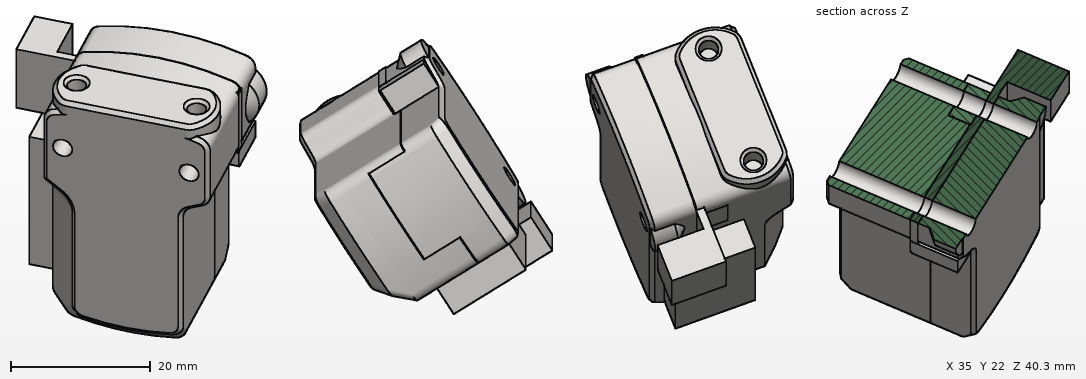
import cadquery as cq
import math

depth = 22.0
half_width = 12.5
lower_right_x = 8.45
bow_radius = 39.98
case_top = 39.8
corner_radius = 2.0
bottom_chamfer = 2.0
edge_bevel = 0.6
shallow_bevel = 0.25
shoulder_z = 26.8
shoulder_angle = 25.0

scoop_turn = 45.0
scoop_leg = 4.55
scoop_radius = 5.0
scoop_tip_z = 26.2
scoop_flat = scoop_leg / math.sqrt(2)
scoop_bend_z = scoop_tip_z - scoop_flat - scoop_radius * (math.sqrt(2) - 1)

cover_front_y = 15.0
parting_gap = 0.12
tab_half_width = 7.4
tab_front_y = 8.95
tab_thickness = 2.0

plate_top = 40.3
plate_bottom = 36.25
plate_half_length = 12.3
plate_width = 10.0
plate_end_radius = 6.0
screw_spacing = 18.05
screw_diameter = 2.8
screw_depth = 4.05
screw_chamfer = 0.5

cross_hole_x = 9.5
cross_hole_z = 32.1
cross_hole_diameter = 2.9
lug_radius = 4.5
lug_length = 3.5
lug_setback = 0.12

ledge_bottom = 23.95
ledge_front_y = 13.75
ledge_chamfer = 0.3

strip_thickness = 1.25
slider_height = 10.48
slider_top = shoulder_z + slider_height
strip_front_y = cover_front_y - strip_thickness
finger_left_x = -21.0
finger_width = 5.75
boss_diameter = 6.5
boss_length = 3.5

block_left_x = -17.1
block_bottom = 4.05
block_front_y = 7.78
block_back_y = 20.0

rim_clip_depth = 0.8
low_z = 8.05
neck_top_z = 26.2
far = 80.6


def bow_drop(x, radius):
    """How far a bow of this radius falls away from its middle at x."""
    return radius - math.sqrt(radius ** 2 - x ** 2)


def upright_plane(y):
    """XZ plane at y; extruding by a negative length runs toward +Y."""
    return cq.Workplane("XZ", origin=(0, y, 0))


def round_corners(outline, is_rounded, radius):
    """Round the corners of a closed flat outline that is_rounded picks out."""
    face = cq.Face.makeFromWires(outline)
    corners = [corner for corner in face.Vertices() if is_rounded(corner)]
    return face.fillet2D(radius, corners).outerWire()


def is_low(corner):
    return corner.Z < low_z


def is_neck(corner):
    return corner.X > 0 and low_z < corner.Z < neck_top_z


def is_upper(corner):
    lowest = neck_top_z if corner.X > 0 else cross_hole_z
    return corner.Z > lowest


def is_outward(corner):
    return is_low(corner) or is_upper(corner)


def scoop_profile(angle_degrees):
    """Depth from the sharp edge and height, at an angle along the scoop's rounding."""
    angle = math.radians(angle_degrees)
    inward = scoop_flat - scoop_radius * (1 - math.cos(angle))
    return inward, scoop_bend_z + scoop_radius * math.sin(angle)


def scoop_edge(angle_degrees, inset):
    """Point where the scoop's rounding cuts the front face, moved into the case by inset."""
    angle = math.radians(angle_degrees)
    inward, z = scoop_profile(angle_degrees)
    x = math.sqrt(2) * inward - half_width
    normal_x = math.cos(angle) / math.sqrt(2)
    normal_z = math.sin(angle)
    length = math.hypot(normal_x, normal_z)
    return x + inset * normal_x / length, z + inset * normal_z / length


def case_outline(y, wall_inset=0, bottom_inset=0, scoop_inset=None):
    """Case outline at depth y, moved in by the insets; the scoop is left out unless it has one."""
    left = wall_inset - half_width
    right = half_width - wall_inset
    lower_right = lower_right_x - wall_inset
    tilt = math.radians(shoulder_angle)
    shoulder = shoulder_z + wall_inset * (1 / math.cos(tilt) - math.tan(tilt))
    neck = shoulder - (right - lower_right) * math.tan(tilt)
    top = case_top - wall_inset
    top_corner_z = top - bow_drop(right, bow_radius - wall_inset)
    low_radius = bow_radius - bottom_inset
    low_left = left if scoop_inset is None else scoop_leg - half_width + scoop_inset

    outline = (
        upright_plane(y)
        .moveTo(low_left, bottom_inset + bow_drop(low_left, low_radius))
        .threePointArc((0, bottom_inset), (lower_right, bottom_inset + bow_drop(lower_right, low_radius)))
        .lineTo(lower_right, neck)
        .lineTo(right, shoulder)
        .lineTo(right, top_corner_z)
        .threePointArc((0, top), (left, top_corner_z))
    )
    if scoop_inset is not None:
        bend_end = scoop_edge(scoop_turn, scoop_inset)
        outline = (
            outline.lineTo(left, bend_end[1] + (bend_end[0] - left) / math.sqrt(2))
            .lineTo(*bend_end)
            .threePointArc(scoop_edge(scoop_turn / 2, scoop_inset), scoop_edge(0, scoop_inset))
        )
    wire = outline.close().val()
    wire = round_corners(wire, is_neck, corner_radius + wall_inset)
    return round_corners(wire, is_outward, corner_radius - wall_inset)


def low_outline(y, left_inset, bottom_inset):
    """Outline that closes in on the case only at its left, right and bottom, below the scoop's bend."""
    left = left_inset - half_width
    radius = bow_radius - bottom_inset
    outline = (
        upright_plane(y)
        .moveTo(left, bottom_inset + bow_drop(left, radius))
        .threePointArc((0, bottom_inset), (lower_right_x, bottom_inset + bow_drop(lower_right_x, radius)))
        .lineTo(lower_right_x, scoop_bend_z)
        .lineTo(far, scoop_bend_z)
        .lineTo(far, far)
        .lineTo(-far, far)
        .lineTo(-far, scoop_bend_z)
        .lineTo(left, scoop_bend_z)
        .close()
        .val()
    )
    return round_corners(outline, is_low, corner_radius)


def low_clip():
    """Bottom with its large front and back chamfers, the scoop's flat and the rounded corners."""
    sections = [
        low_outline(0, scoop_leg, bottom_chamfer),
        low_outline(bottom_chamfer, scoop_leg - bottom_chamfer, 0),
        low_outline(scoop_leg, 0, 0),
        low_outline(depth - bottom_chamfer, 0, 0),
        low_outline(depth, 0, bottom_chamfer),
    ]
    return cq.Workplane(cq.Solid.makeLoft(sections, True))


def scoop():
    """Cutter for the left front edge, swept along the 45 degree flat."""
    across = cq.Plane(origin=(-half_width, 0, 0), xDir=(1, 1, 0), normal=(1, -1, 0))
    return (
        cq.Workplane(across)
        .moveTo(-half_width, 0)
        .lineTo(scoop_flat, 0)
        .lineTo(scoop_flat, scoop_bend_z)
        .threePointArc(scoop_profile(scoop_turn / 2), scoop_profile(scoop_turn))
        .lineTo(-half_width, scoop_tip_z + half_width)
        .close()
        .extrude(depth, both=True)
    )


def rim_clip(y, inward, scooped):
    """Clip that bevels the rim of the end face at y; inward is the Y direction into the case."""
    shallow_run = rim_clip_depth / math.tan(math.radians(22.5))
    inner_y = y + inward * rim_clip_depth
    outer_scoop = shallow_bevel if scooped else None
    inner_scoop = shallow_bevel - shallow_run if scooped else None
    bottom_inset = bottom_chamfer + shallow_bevel
    outer = case_outline(y, edge_bevel, bottom_inset, outer_scoop)
    inner = case_outline(inner_y, edge_bevel - rim_clip_depth, bottom_inset - shallow_run, inner_scoop)
    rim = cq.Workplane(cq.Solid.makeLoft([outer, inner], True))
    rest = upright_plane(inner_y).rect(2 * far, 2 * far).extrude(-inward * depth)
    return rim.union(rest)


def case():
    """Outer shape of housing and cover together."""
    prism = upright_plane(0).add(case_outline(0)).toPending().extrude(-depth)
    shaped = prism.intersect(low_clip()).cut(scoop())
    return shaped.intersect(rim_clip(0, 1, True)).intersect(rim_clip(depth, -1, False))


def box(x_range, y_range, z_range):
    """Box between two values on each axis."""
    size = [high - low for low, high in (x_range, y_range, z_range)]
    corner = (x_range[0], y_range[0], z_range[0])
    return cq.Workplane().box(*size, centered=False).translate(corner)


def cross_cylinder(x, diameter, y_range):
    """Cylinder along Y on the axis of a cross hole."""
    length = y_range[1] - y_range[0]
    return upright_plane(y_range[0]).center(x, cross_hole_z).circle(diameter / 2).extrude(-length)


def cross_holes():
    """Cutter for both holes that run through every body from front to back."""
    left = cross_cylinder(-cross_hole_x, cross_hole_diameter, (0, depth))
    return left.union(cross_cylinder(cross_hole_x, cross_hole_diameter, (0, depth)))


def bottom_tab(front_y):
    """Low block under the housing, reaching from front_y back to the cover."""
    return box((-tab_half_width, tab_half_width), (front_y, cover_front_y), (0, tab_thickness))


def slider_bar():
    """Finger block left of the case and the flat strip that crosses it."""
    z_range = (shoulder_z, slider_top)
    finger = box((finger_left_x, finger_left_x + finger_width), (strip_front_y, depth), z_range)
    strip = box((finger_left_x, half_width), (strip_front_y, cover_front_y), z_range)
    return finger.union(strip)


def boss_shape():
    """U-shaped boss: round about the left cross hole, straight out to the left wall."""
    boss_radius = boss_diameter / 2
    y_range = (strip_front_y - boss_length, strip_front_y)
    z_range = (cross_hole_z - boss_radius, cross_hole_z + boss_radius)
    straight = box((-half_width, -cross_hole_x), y_range, z_range)
    inner_half = box((-cross_hole_x, boss_radius - cross_hole_x), y_range, z_range)
    round_end = cross_cylinder(-cross_hole_x, boss_diameter, y_range).intersect(inner_half)
    return straight.union(round_end)


def mounting_plate():
    """Plate with bowed ends and a beveled top rim, before drilling."""
    half_plate = plate_width / 2
    end_x = plate_half_length - bow_drop(half_plate, plate_end_radius)
    return (
        cq.Workplane("XY", origin=(0, half_plate, plate_bottom))
        .moveTo(-end_x, -half_plate)
        .lineTo(end_x, -half_plate)
        .threePointArc((plate_half_length, 0), (end_x, half_plate))
        .lineTo(-end_x, half_plate)
        .threePointArc((-plate_half_length, 0), (-end_x, -half_plate))
        .close()
        .extrude(plate_top - plate_bottom)
        .edges("|Z")
        .fillet(corner_radius)
        .faces(">Z")
        .chamfer(edge_bevel)
    )


def screw_holes():
    """Cutter for the blind, chamfered screw holes in the mounting plate."""
    spots = [(-screw_spacing / 2, plate_width / 2), (screw_spacing / 2, plate_width / 2)]
    top = cq.Workplane("XY", origin=(0, 0, plate_top)).pushPoints(spots)
    bore = top.circle(screw_diameter / 2).extrude(-screw_depth)
    mouth = top.circle(screw_diameter / 2 + screw_chamfer).extrude(-screw_chamfer, taper=45)
    return bore.union(mouth)


def lug(x):
    """Round lug around a cross hole, its front tapering at 45 degrees into the wall."""
    back_y = depth - lug_setback
    front_y = back_y - lug_length
    barrel = cross_cylinder(x, 2 * lug_radius, (front_y, back_y))
    cone_length = front_y - cover_front_y
    cone = upright_plane(front_y).center(x, cross_hole_z).circle(lug_radius).extrude(cone_length, taper=45)
    return barrel.union(cone)


def ledge():
    """Bar under the right shoulder with its front edges chamfered."""
    y_range = (ledge_front_y, depth - edge_bevel)
    bar = box((lower_right_x, half_width), y_range, (ledge_bottom, shoulder_z))
    return bar.faces("<Y").edges("|X").chamfer(ledge_chamfer)


def make_housing(whole_case):
    """Front part of the case with the mounting plate, hollowed for the bodies that enter it."""
    front = whole_case.intersect(box((-far, far), (0, cover_front_y - parting_gap), (0, far)))
    solid = front.union(mounting_plate())
    tab_recess = bottom_tab(tab_front_y - parting_gap)
    recessed = solid.cut(slider_bar()).cut(boss_shape()).cut(ledge()).cut(tab_recess)
    return recessed.cut(cross_holes()).cut(screw_holes())


def make_cover(whole_case):
    """Back part of the case with its lugs, ledge and bottom tab."""
    back = whole_case.intersect(box((-far, far), (cover_front_y, depth), (0, far)))
    tabbed = back.union(whole_case.intersect(bottom_tab(tab_front_y)))
    lugged = tabbed.union(lug(-cross_hole_x)).union(lug(cross_hole_x))
    return lugged.union(ledge()).cut(cross_holes())


def make_slider():
    return slider_bar().cut(cross_holes())


def make_pivot_boss():
    return boss_shape().cut(cross_holes())


def make_side_block():
    """Plain block against the left wall, under the slider."""
    return box((block_left_x, -half_width), (block_front_y, block_back_y), (block_bottom, shoulder_z))


case_shape = case()
housing = make_housing(case_shape)
cover = make_cover(case_shape)
slider = make_slider()
pivot_boss = make_pivot_boss()
side_block = make_side_block()

result = cq.Compound.makeCompound([
    *housing.solids().vals(),
    *cover.solids().vals(),
    *slider.solids().vals(),
    *pivot_boss.solids().vals(),
    *side_block.solids().vals(),
])